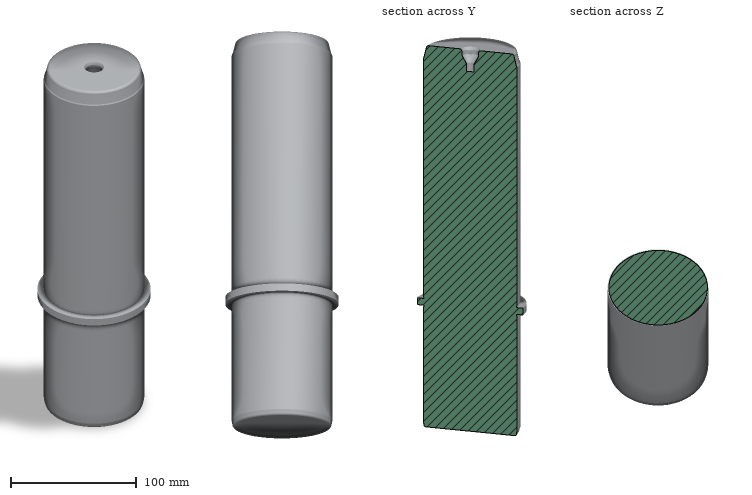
import cadquery as cq
import math

length = 315.0
body_radius = 40.0
collar_radius = 45.0

collar_bottom = 100.2
collar_height = 6.0
collar_top = collar_bottom + collar_height
relief_width = 1.0
relief_radius = body_radius - 0.5

lead_length = 10.0
lead_base_radius = body_radius - 0.5
lead_edge_height = 1.0
rim_radius = 37.5
rim_height = 2.5
top_face_radius = 35.0
lead_base_z = length - lead_length
rim_z = length - rim_height

foot_length = 4.5
foot_rim_height = 2.0
foot_rim_radius = body_radius - 0.5
bottom_face_radius = foot_rim_radius - foot_rim_height

mouth_radius = 8.0
mouth_depth = 2.2
recess_radius = 6.5
recess_depth = 3.5
pilot_radius = 3.0
pilot_depth = 6.3
cone_half_angle = math.radians(30)


def rim_midpoint(face_radius, outer_radius, height):
    """Radius and height of the middle of a convex quarter-round rim."""
    diagonal = math.sqrt(0.5)
    return face_radius + (outer_radius - face_radius) * diagonal, height * diagonal


def make_pin():
    foot_mid_radius, foot_mid_rise = rim_midpoint(bottom_face_radius, foot_rim_radius, foot_rim_height)
    rim_mid_radius, rim_mid_rise = rim_midpoint(top_face_radius, rim_radius, rim_height)
    return (
        cq.Workplane("XZ")
        .lineTo(bottom_face_radius, 0)
        .threePointArc((foot_mid_radius, foot_rim_height - foot_mid_rise), (foot_rim_radius, foot_rim_height))
        .lineTo(body_radius, foot_length)
        .lineTo(body_radius, collar_bottom - relief_width)
        .lineTo(relief_radius, collar_bottom - relief_width)
        .lineTo(relief_radius, collar_bottom)
        .lineTo(collar_radius, collar_bottom)
        .lineTo(collar_radius, collar_top)
        .lineTo(relief_radius, collar_top)
        .lineTo(relief_radius, collar_top + relief_width)
        .lineTo(body_radius, collar_top + relief_width)
        .lineTo(body_radius, lead_base_z - lead_edge_height)
        .lineTo(lead_base_radius, lead_base_z)
        .lineTo(rim_radius, rim_z)
        .threePointArc((rim_mid_radius, rim_z + rim_mid_rise), (top_face_radius, length))
        .lineTo(0, length)
        .close()
        .revolve(360, (0, 0), (0, 1))
    )


def make_center_hole():
    recess_top_z = length - mouth_depth
    cone_top_z = recess_top_z - recess_depth
    pilot_top_z = cone_top_z - (recess_radius - pilot_radius) / math.tan(cone_half_angle)
    pilot_bottom_z = pilot_top_z - pilot_depth
    return (
        cq.Workplane("XZ")
        .moveTo(0, length)
        .lineTo(mouth_radius, length)
        .lineTo(recess_radius, recess_top_z)
        .lineTo(recess_radius, cone_top_z)
        .lineTo(pilot_radius, pilot_top_z)
        .lineTo(pilot_radius, pilot_bottom_z)
        .lineTo(0, pilot_bottom_z)
        .close()
        .revolve(360, (0, 0), (0, 1))
    )


result = make_pin().cut(make_center_hole())